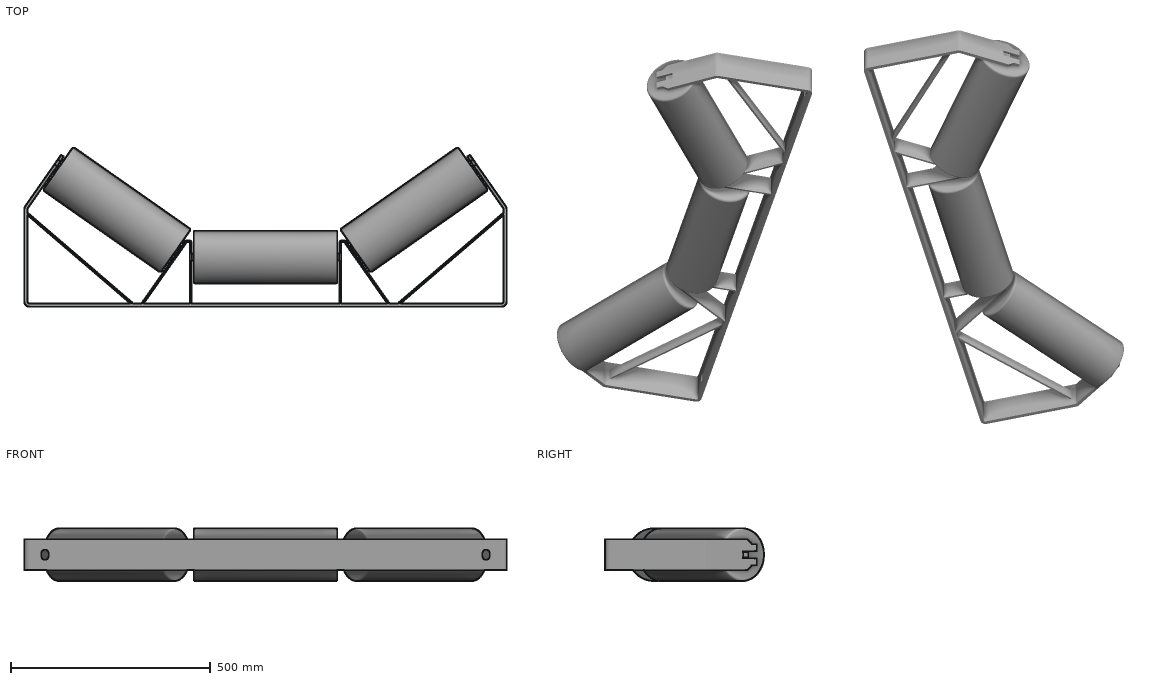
import cadquery as cq
import math

LENGTH = 1210.0
STRAP_HEIGHT = 77.0
STRAP_THICK = 8.0
BEND_RADIUS = 13.0
TROUGH_ANGLE = 35.0

ROLLER_DIA = 133.0
ROLLER_LENGTH = 360.0
RIM_FILLET = 5.0
CENTRE_ROLLER_Y = 125.0
SIDE_ROLLER_X = 373.0
SIDE_ROLLER_Y = 243.0
END_GAP = 5.0
SPINDLE_DEPTH = 18.0
SPINDLE_WIDTH = 13.0

BRACKET_THICK = 5.0
BRACKET_HEIGHT = 55.0
BRACKET_TOP = 167.0
BRACKET_RADIUS = 7.0
BRACE_THICK = 5.0
BRACE_HEIGHT = 29.0
BRACE_WALL_Y = 236.0
BRACE_BASE_X = 332.0

TIP_Y = 381.0
NECK_WIDTH = 53.0
NECK_LENGTH = 15.0
SHOULDER_LENGTH = 15.0
SPINDLE_SLOT = 18.0
MOUNT_X = 553.0
MOUNT_WIDTH = 18.0
MOUNT_LENGTH = 25.0

HALF = LENGTH / 2
TILT = math.radians(TROUGH_ANGLE)
AXIS = (math.cos(TILT), -math.sin(TILT))
LEAN = (math.sin(TILT), math.cos(TILT))
SUPPORT = ROLLER_LENGTH / 2 + END_GAP
SPINDLE_HALF = SUPPORT + BRACKET_THICK
LEFT_CENTRE = (-SIDE_ROLLER_X, SIDE_ROLLER_Y)


def from_left_roller(along, up):
    """Point given along the left roller axis and square to it, from the roller centre."""
    return (
        LEFT_CENTRE[0] + along * AXIS[0] + up * LEAN[0],
        LEFT_CENTRE[1] + along * AXIS[1] + up * LEAN[1],
    )


def lean_up_at_x(along, x):
    """Distance up the lean direction at which a tilted face reaches the given X."""
    return (x - LEFT_CENTRE[0] - along * AXIS[0]) / LEAN[0]


def lean_up_at_y(along, y):
    """Distance up the lean direction at which a tilted face reaches the given Y."""
    return (y - LEFT_CENTRE[1] - along * AXIS[1]) / LEAN[1]


def mirrored(body):
    """The body together with its mirror image across the YZ plane."""
    return body.union(body.mirror("YZ"))


def plate(points, height):
    """Flat profile in XY, extruded evenly to both sides of Z = 0."""
    return cq.Workplane("XY").polyline(points).close().extrude(height / 2, both=True)


def round_edge(body, point, radius):
    """Round the upright edge nearest to the given XY point."""
    return body.edges(cq.selectors.NearestToPointSelector((*point, 0))).fillet(radius)


ARM_OUTER = -(SUPPORT + STRAP_THICK)
ARM_INNER = -SUPPORT
TIP_UP = lean_up_at_y(ARM_OUTER, TIP_Y)


def left_strap():
    """Left half of the bent flat bar: base, end wall and leaning arm."""
    inner_x = -HALF + STRAP_THICK
    outer_corner = (-HALF, 0)
    inner_corner = (inner_x, STRAP_THICK)
    outer_knee = from_left_roller(ARM_OUTER, lean_up_at_x(ARM_OUTER, -HALF))
    inner_knee = from_left_roller(ARM_INNER, lean_up_at_x(ARM_INNER, inner_x))
    strap = plate(
        [
            (0, 0),
            outer_corner,
            outer_knee,
            from_left_roller(ARM_OUTER, TIP_UP),
            from_left_roller(ARM_INNER, TIP_UP),
            inner_knee,
            inner_corner,
            (0, STRAP_THICK),
        ],
        STRAP_HEIGHT,
    )
    strap = round_edge(strap, outer_corner, BEND_RADIUS)
    strap = round_edge(strap, inner_corner, BEND_RADIUS - STRAP_THICK)
    strap = round_edge(strap, outer_knee, BEND_RADIUS)
    return round_edge(strap, inner_knee, BEND_RADIUS - STRAP_THICK)


def tilted_plane(up):
    """Plane square to the left roller axis; local X runs up the arm and local Y along Z."""
    return cq.Plane(
        origin=(*from_left_roller(0, up), 0),
        xDir=(*LEAN, 0),
        normal=(*AXIS, 0),
    )


def arm_tip_cuts():
    """Material removed beside the neck at the left arm tip."""
    half_neck = NECK_WIDTH / 2
    half_strap = STRAP_HEIGHT / 2
    shoulder_end = -NECK_LENGTH - SHOULDER_LENGTH
    corner = (
        cq.Workplane(tilted_plane(TIP_UP))
        .workplane(offset=ARM_OUTER)
        .polyline([(0, half_neck), (-NECK_LENGTH, half_neck), (shoulder_end, half_strap), (0, half_strap)])
        .close()
        .extrude(STRAP_THICK)
    )
    return corner.union(corner.mirror("XY"))


def left_bracket():
    """Folded strip with one upright leg and one leg leaning beside the left roller."""
    leg_x = -SUPPORT
    back_x = leg_x - BRACKET_THICK
    near = SUPPORT
    far = SUPPORT + BRACKET_THICK
    inner_top = BRACKET_TOP - BRACKET_THICK
    lean_corner = from_left_roller(near, lean_up_at_y(near, BRACKET_TOP))
    inner_lean_corner = from_left_roller(far, lean_up_at_y(far, inner_top))
    bracket = plate(
        [
            (leg_x, STRAP_THICK),
            (leg_x, BRACKET_TOP),
            lean_corner,
            from_left_roller(near, lean_up_at_y(near, STRAP_THICK)),
            from_left_roller(far, lean_up_at_y(far, STRAP_THICK)),
            inner_lean_corner,
            (back_x, inner_top),
            (back_x, STRAP_THICK),
        ],
        BRACKET_HEIGHT,
    )
    bracket = round_edge(bracket, (leg_x, BRACKET_TOP), BRACKET_RADIUS)
    bracket = round_edge(bracket, (back_x, inner_top), BRACKET_RADIUS - BRACKET_THICK)
    bracket = round_edge(bracket, lean_corner, BRACKET_RADIUS)
    return round_edge(bracket, inner_lean_corner, BRACKET_RADIUS - BRACKET_THICK)


def left_brace():
    """Straight diagonal bar from the left end wall down to the base."""
    wall_x = -HALF + STRAP_THICK
    slope = math.atan2(BRACE_WALL_Y - STRAP_THICK, -BRACE_BASE_X - wall_x)
    return plate(
        [
            (wall_x, BRACE_WALL_Y),
            (-BRACE_BASE_X, STRAP_THICK),
            (-BRACE_BASE_X - BRACE_THICK / math.sin(slope), STRAP_THICK),
            (wall_x, BRACE_WALL_Y - BRACE_THICK / math.cos(slope)),
        ],
        BRACE_HEIGHT,
    )


def spindle_slot():
    """Slot cutter for both supports of a roller along X at the origin, open towards +Y."""
    bottom = -SPINDLE_DEPTH / 2
    top = BRACKET_TOP - CENTRE_ROLLER_Y
    depth = top - bottom
    reach = SUPPORT + STRAP_THICK + BRACKET_RADIUS
    return cq.Workplane("XY").box(2 * reach, depth, SPINDLE_SLOT).translate((0, bottom + depth / 2, 0))


def mounting_slot():
    """Upright round-ended slot through the base near its left end."""
    return (
        cq.Workplane("XZ")
        .center(-MOUNT_X, 0)
        .slot2D(MOUNT_LENGTH, MOUNT_WIDTH, 90)
        .extrude(-STRAP_THICK)
    )


def on_left_axis(body):
    """Move a body from the X axis to the left roller axis."""
    return body.rotate((0, 0, 0), (0, 0, 1), -TROUGH_ANGLE).translate((*LEFT_CENTRE, 0))


def make_frame():
    """Welded frame: bent flat bar, two brackets and two braces."""
    slot = spindle_slot()
    left_half = left_strap().union(left_bracket()).union(left_brace())
    left_half = left_half.cut(arm_tip_cuts()).cut(mounting_slot())
    left_half = left_half.cut(on_left_axis(slot))
    left_half = left_half.cut(slot.translate((0, CENTRE_ROLLER_Y, 0)))
    return mirrored(left_half)


def make_roller():
    """Roller along X at the origin, with a flat spindle end resting in each support."""
    end_plane = cq.Workplane("YZ", origin=(-ROLLER_LENGTH / 2, 0, 0))
    shell = end_plane.circle(ROLLER_DIA / 2).extrude(ROLLER_LENGTH)
    shell = shell.edges("%CIRCLE").fillet(RIM_FILLET)
    spindle = cq.Workplane("XY").box(2 * SPINDLE_HALF, SPINDLE_DEPTH, SPINDLE_WIDTH)
    return shell.union(spindle)


frame = make_frame()
rollers = [make_roller().translate((0, CENTRE_ROLLER_Y, 0))]
for side in (-1, 1):
    tilted = make_roller().rotate((0, 0, 0), (0, 0, 1), side * TROUGH_ANGLE)
    rollers.append(tilted.translate((side * SIDE_ROLLER_X, SIDE_ROLLER_Y, 0)))

result = cq.Compound.makeCompound([frame.solids().val(), *[roller.solids().val() for roller in rollers]])